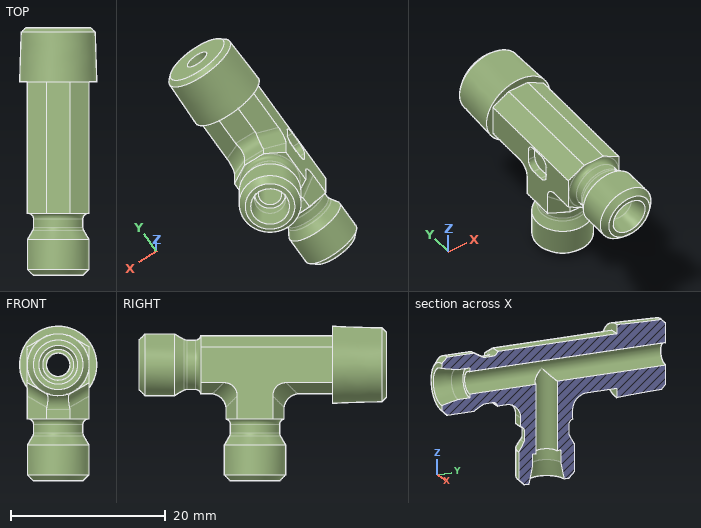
import cadquery as cq
import math


body_width = 8.0
body_half_depth = 3.75
flat_width = 3.0
slope_angle = 30.0
body_reach = 7.0
body_rear = 10.0
crotch_radius = 2.0

port_length = 15.0
port_diameter = 8.0
neck_diameter = 6.4
neck_fillet = 0.7
port_shoulder = 10.38
neck_cone_angle = 30.0
cone_blend_radius = 0.8
port_chamfer = 0.8

collar_end = 17.0
collar_diameter = 10.0
collar_taper = 1 / 16
collar_chamfer = 0.6

bore_diameter = 3.0
socket_diameter = 4.0
socket_depth = 4.0
seat_diameter = 5.0
seat_half_angle = 12.0

recess_size = 4.0
recess_corner_radius = 1.2
recess_depth = 1.0


def prism(start, end):
    """Eight-sided body section, extruded along Z between two heights."""
    half_width = body_width / 2
    half_flat = flat_width / 2
    drop = (half_width - half_flat) * math.tan(math.radians(slope_angle))
    corner = body_half_depth - drop
    outline = [
        (half_flat, body_half_depth),
        (half_width, corner),
        (half_width, -corner),
        (half_flat, -body_half_depth),
        (-half_flat, -body_half_depth),
        (-half_width, -corner),
        (-half_width, corner),
        (-half_flat, body_half_depth),
    ]
    section = cq.Workplane("XY").workplane(offset=start).polyline(outline).close()
    return section.extrude(end - start)


def along_run(shape):
    """Turn a shape built along +Z so that it points along -Y."""
    return shape.rotate((0, 0, 0), (1, 0, 0), 90)


def along_branch(shape):
    """Turn a shape built along +Z so that it points along -Z."""
    return shape.rotate((0, 0, 0), (1, 0, 0), 180)


def revolve_about_z(profile):
    """Revolve a closed XZ profile around the Z axis."""
    return profile.close().revolve(360, (0, 0, 0), (0, 1, 0))


def crotch_cutter(slope, bend_x, side):
    """Wedge of space between one face of the run and its twin on the branch.

    The inner edge of the wedge is rounded. slope is the fall of both faces
    per step in X, bend_x is where the edge meets the flat, and side is the
    sign of Y on which the wedge lies.
    """
    tilt = math.atan(slope * math.sqrt(2))
    inward = math.sin(tilt) / math.sqrt(2)
    outward = math.cos(tilt) / math.sqrt(2)
    edge_direction = (math.cos(tilt), -side * inward, inward)
    bisector = (math.sin(tilt), side * outward, -outward)
    section_plane = cq.Plane(
        origin=(bend_x, side * body_half_depth, -body_half_depth),
        xDir=bisector,
        normal=edge_direction,
    )
    reach = 2 * port_length
    spread = reach / math.cos(tilt)
    return (
        cq.Workplane(section_plane)
        .polyline([(0, 0), (reach, spread), (reach, -spread)])
        .close()
        .extrude(body_width, both=True)
        .edges(cq.selectors.NearestToPointSelector(section_plane.origin.toTuple()))
        .fillet(crotch_radius)
    )


def make_body():
    """Run and branch with rounded inner corners, carved from a block."""
    lower_block = (
        cq.Workplane("XY")
        .box(body_width, body_reach + body_rear, body_reach, centered=(True, False, False))
        .translate((0, -body_reach, -body_reach))
    )
    body = along_run(prism(-body_rear, body_reach)).union(lower_block)
    slope = math.tan(math.radians(slope_angle))
    for side in (-1, 1):
        body = body.cut(crotch_cutter(0, 0, side))
        body = body.cut(crotch_cutter(slope, flat_width / 2, side))
        body = body.cut(crotch_cutter(-slope, -flat_width / 2, side))
    return body


def make_port():
    """Neck, cone and port end, built along +Z from the body shoulder.

    The flare at the foot of the neck is trimmed to the body section.
    """
    neck = neck_diameter / 2
    outer = port_diameter / 2
    cone_angle = math.radians(neck_cone_angle)
    cone_start = port_shoulder - (outer - neck) / math.tan(cone_angle)
    blend_start = cone_start - cone_blend_radius * math.tan(cone_angle / 2)
    blend_rise = cone_blend_radius * (1 - math.cos(cone_angle))
    blend_end = blend_start + cone_blend_radius * math.sin(cone_angle)
    profile = (
        cq.Workplane("XZ")
        .moveTo(0, body_reach)
        .lineTo(neck + neck_fillet, body_reach)
        .radiusArc((neck, body_reach + neck_fillet), neck_fillet)
        .lineTo(neck, blend_start)
        .radiusArc((neck + blend_rise, blend_end), cone_blend_radius)
        .lineTo(outer, port_shoulder)
        .lineTo(outer, port_length - port_chamfer)
        .lineTo(outer - port_chamfer, port_length)
        .lineTo(0, port_length)
    )
    port = revolve_about_z(profile)
    flare_end = body_reach + neck_fillet
    overhang = (
        cq.Workplane("XY")
        .workplane(offset=body_reach)
        .circle(port_diameter)
        .extrude(neck_fillet)
        .cut(prism(body_reach, flare_end))
    )
    return port.cut(overhang)


def make_collar():
    """Tapered collar on the rear end of the run, built along +Z."""
    large = collar_diameter / 2
    small = large - (collar_end - body_rear) * collar_taper / 2
    profile = (
        cq.Workplane("XZ")
        .moveTo(0, body_rear)
        .lineTo(large, body_rear)
        .lineTo(small, collar_end)
        .lineTo(0, collar_end)
    )
    return revolve_about_z(profile).faces(">Z").chamfer(collar_chamfer)


def make_port_bore():
    """Conical seat, straight socket and through bore of one port."""
    seat_step = (seat_diameter - socket_diameter) / 2
    seat_depth = seat_step / math.tan(math.radians(seat_half_angle))
    socket_bottom = port_length - socket_depth
    profile = (
        cq.Workplane("XZ")
        .lineTo(bore_diameter / 2, 0)
        .lineTo(bore_diameter / 2, socket_bottom)
        .lineTo(socket_diameter / 2, socket_bottom)
        .lineTo(socket_diameter / 2, port_length - seat_depth)
        .lineTo(seat_diameter / 2, port_length)
        .lineTo(0, port_length)
    )
    return revolve_about_z(profile)


def make_rear_bore():
    """Straight bore from the origin out through the collar, along +Y."""
    return cq.Workplane("XZ").circle(bore_diameter / 2).extrude(-collar_end)


def make_recess():
    """Shallow rounded-square pocket in the side flat."""
    return (
        cq.Workplane("YZ")
        .workplane(offset=-body_width / 2)
        .rect(recess_size, recess_size)
        .extrude(recess_depth)
        .edges("|X")
        .fillet(recess_corner_radius)
    )


port = make_port()
port_bore = make_port_bore()
collar = make_collar().rotate((0, 0, 0), (1, 0, 0), -90)

result = make_body().union(along_run(port)).union(along_branch(port)).union(collar)
result = result.cut(along_run(port_bore)).cut(along_branch(port_bore))
result = result.cut(make_rear_bore()).cut(make_recess())